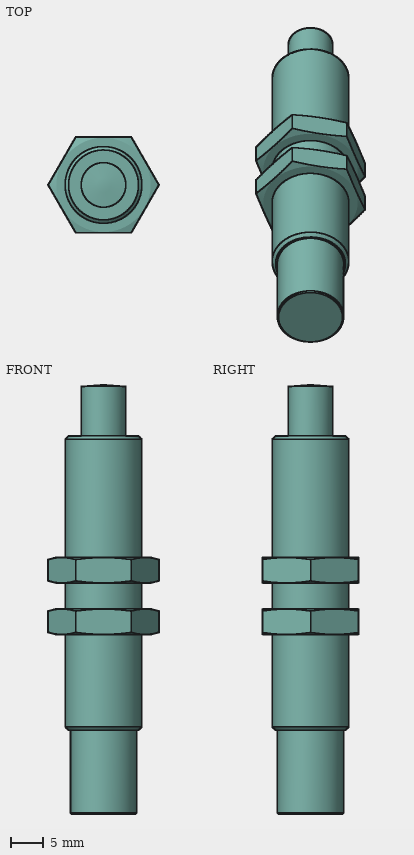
import cadquery as cq
import math

total_height = 67.05
barrel_diameter = 12.0
barrel_top_z = 59.1
barrel_bottom_z = 13.1
barrel_chamfer = 0.55
tail_diameter = 10.4
tail_chamfer = 0.2
plunger_diameter = 7.0
plunger_cone_height = 0.3

nut_across_flats = 15.0
nut_height = 4.0
nut_gap = 4.0
lower_nut_z = 28.0
nut_face_diameter = 14.75
nut_chamfer_angle = math.radians(15)
nut_count = 2


def make_sensor_body():
    """Barrel, tail and cone-tipped plunger, turned about the Z axis."""
    barrel_radius = barrel_diameter / 2
    tail_radius = tail_diameter / 2
    plunger_radius = plunger_diameter / 2
    profile = [
        (0, 0),
        (tail_radius - tail_chamfer, 0),
        (tail_radius, tail_chamfer),
        (tail_radius, barrel_bottom_z),
        (barrel_radius - barrel_chamfer, barrel_bottom_z),
        (barrel_radius, barrel_bottom_z + barrel_chamfer),
        (barrel_radius, barrel_top_z - barrel_chamfer),
        (barrel_radius - barrel_chamfer, barrel_top_z),
        (plunger_radius, barrel_top_z),
        (plunger_radius, total_height - plunger_cone_height),
        (0, total_height),
    ]
    return cq.Workplane("XZ").polyline(profile).close().revolve(360, (0, 0), (0, 1))


def make_nut(base_z):
    """Hexagonal nut with conically chamfered corners and a bore that fits the barrel."""
    corner_diameter = nut_across_flats / math.cos(math.pi / 6)
    face_radius = nut_face_diameter / 2
    corner_radius = corner_diameter / 2
    corner_drop = (corner_radius - face_radius) * math.tan(nut_chamfer_angle)

    hexagon = cq.Workplane("XY").polygon(6, corner_diameter).extrude(nut_height)
    envelope = (
        cq.Workplane("XZ")
        .polyline([
            (0, 0),
            (face_radius, 0),
            (corner_radius, corner_drop),
            (corner_radius, nut_height - corner_drop),
            (face_radius, nut_height),
            (0, nut_height),
        ])
        .close()
        .revolve(360, (0, 0), (0, 1))
    )
    bore = cq.Workplane("XY").circle(barrel_diameter / 2).extrude(nut_height)
    return hexagon.intersect(envelope).cut(bore).translate((0, 0, base_z))


sensor_body = make_sensor_body()

nut_pitch = nut_height + nut_gap
lock_nuts = [make_nut(lower_nut_z + index * nut_pitch) for index in range(nut_count)]

result = cq.Compound.makeCompound([sensor_body.val(), *[nut.solids().val() for nut in lock_nuts]])